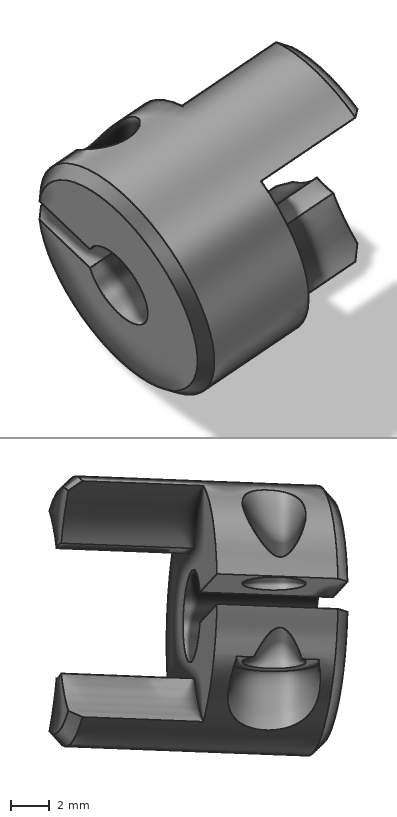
import cadquery as cq

length = 13.97
outer_radius = length / 2
hub_length = length / 2
chamfer = 0.63
front_y = -length / 2
jaw_root_y = front_y + hub_length

bore_diameter = 4.76
slot_width = 1.59

jaw_clearance_radius = 3.49
lobe_radius = 7.45
lobe_offset = 7.26

screw_x = -5.1
screw_y = front_y + 3.63
screw_diameter = 3.27
head_diameter = 4.76
head_seat_z = -3.34


def cylinder_y(x, radius, start_y, depth):
    """Cylinder along Y, centred at the given X and Z = 0."""
    return cq.Workplane(cq.Solid.makeCylinder(
        radius, depth, cq.Vector(x, start_y, 0), cq.Vector(0, 1, 0)))


def body():
    blank = cylinder_y(0, outer_radius, front_y, length)
    return blank.faces("<Y or >Y").chamfer(chamfer)


def jaw_space():
    space = cylinder_y(0, jaw_clearance_radius, jaw_root_y, length)
    for side in (-1, 1):
        space = space.union(cylinder_y(side * lobe_offset, lobe_radius, jaw_root_y, length))
    return space


def clamp_slot():
    return cq.Workplane("XY").box(
        length, 2 * length, slot_width, centered=(False, True, True)
    ).translate((-length, 0, 0))


def screw_hole():
    centre = (screw_x, screw_y)
    shank = (
        cq.Workplane("XY").center(*centre)
        .circle(screw_diameter / 2).extrude(length, both=True)
    )
    head = (
        cq.Workplane("XY", origin=(0, 0, head_seat_z)).center(*centre)
        .circle(head_diameter / 2).extrude(-length)
    )
    return shank.union(head)


result = (
    body()
    .cut(jaw_space())
    .cut(cylinder_y(0, bore_diameter / 2, front_y, length))
    .cut(clamp_slot())
    .cut(screw_hole())
)